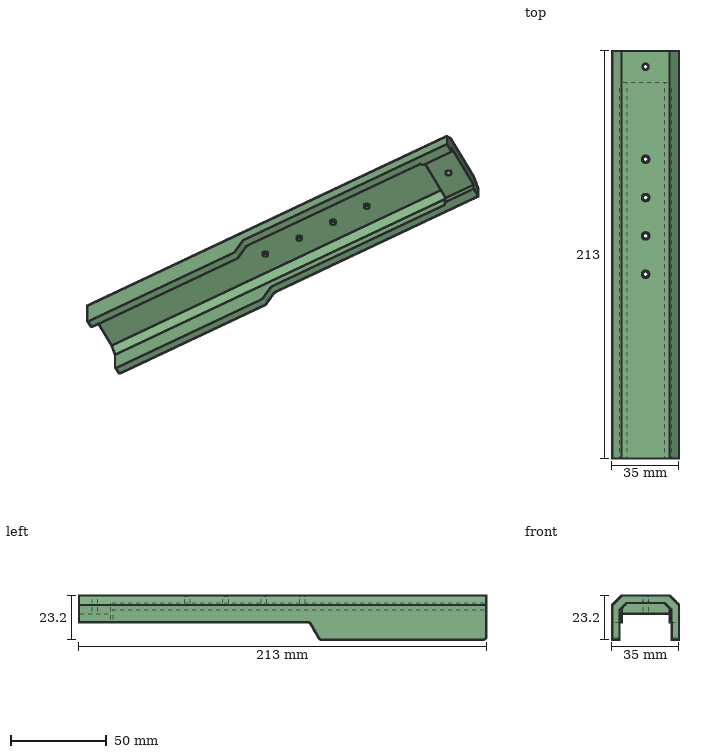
import cadquery as cq
import math

length = 213.0
width = 35.0
height = 23.2

wall = 3.8
outer_chamfer = 5.0
inner_chamfer = 3.8

shallow_depth = 14.0
slope_start = 87.1
slope_angle = 60.0
edge_radius = 2.0

end_length = 16.6
end_wall = 5.1
end_block_depth = 9.5

hole_diameter = 3.0
countersink_diameter = 3.8
hole_pitch = 20.0
hole_count = 4
first_hole_y = 96.3

slope_end = slope_start + (height - shallow_depth) / math.tan(math.radians(slope_angle))
inner_width = width - 2 * wall
end_start = length - end_length


def chamfered_bar(bar_width, top, chamfer):
    """Full-length bar from Z = top down to the foot, with both upper edges chamfered."""
    return (
        cq.Workplane("XY")
        .box(bar_width, length, height + top, centered=(True, False, False))
        .translate((0, 0, -height))
        .edges("|Y and >Z")
        .chamfer(chamfer)
    )


def side_outline():
    """Side silhouette, with rounded front foot and slope corners, across the full width."""
    return (
        cq.Workplane("YZ")
        .moveTo(0, 0)
        .lineTo(0, -height)
        .lineTo(slope_start, -height)
        .lineTo(slope_end, -shallow_depth)
        .lineTo(length, -shallow_depth)
        .lineTo(length, 0)
        .close()
        .extrude(width / 2, both=True)
        .edges("|X and (not >Z) and (not >Y)")
        .fillet(edge_radius)
    )


def end_fill():
    """Rear fill: end block plus side walls that thicken through a 45 degree bevel."""
    step = end_wall - wall
    inner_half = inner_width / 2
    block_half = inner_half - step
    fill = (
        cq.Workplane("XY")
        .box(2 * block_half, end_length, end_block_depth, centered=(True, False, False))
        .translate((0, end_start, -end_block_depth))
    )
    for side in (-1, 1):
        thickening = (
            cq.Workplane("XY")
            .moveTo(side * width / 2, end_start - step)
            .lineTo(side * inner_half, end_start - step)
            .lineTo(side * block_half, end_start)
            .lineTo(side * block_half, length)
            .lineTo(side * width / 2, length)
            .close()
            .extrude(-shallow_depth)
        )
        fill = fill.union(thickening)
    return fill


def vertical_hole(y):
    """Cutter for a hole through everything at position y on the centre line."""
    return cq.Workplane("XY").center(0, y).circle(hole_diameter / 2).extrude(-height)


def countersunk_hole(y):
    """Cutter for a hole with a small 45 degree countersink in the top face."""
    countersink_depth = (countersink_diameter - hole_diameter) / 2
    countersink = (
        cq.Workplane("XY")
        .center(0, y)
        .circle(countersink_diameter / 2)
        .workplane(offset=-countersink_depth)
        .circle(hole_diameter / 2)
        .loft(ruled=True)
    )
    return vertical_hole(y).union(countersink)


outer = chamfered_bar(width, 0, outer_chamfer)
cavity = chamfered_bar(inner_width, -wall, inner_chamfer)

result = outer.cut(cavity).union(end_fill().intersect(outer)).intersect(side_outline())

for index in range(hole_count):
    result = result.cut(countersunk_hole(first_hole_y + index * hole_pitch))
result = result.cut(vertical_hole(length - end_length / 2))